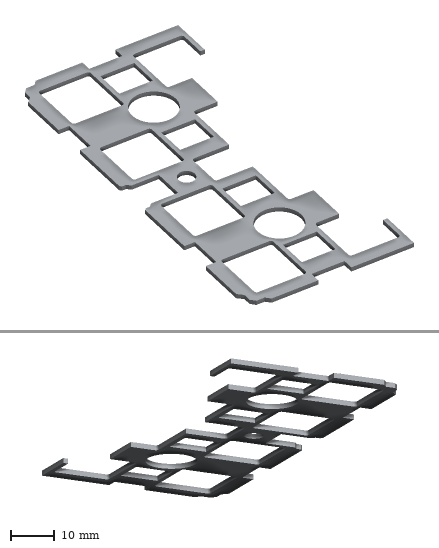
import cadquery as cq

length = 100.0
width = 45.2
thickness = 1.2
half_length = length / 2
half_width = width / 2
corner_radius = 0.7

outer_opening_near = 31.2
outer_opening_far = 46.2
inner_opening_near = 5.6
inner_opening_far = 20.3
opening_top = -4.4
opening_height = 14.2
opening_bottom = opening_top - opening_height

arm_tip = 38.7
arm_underside = half_width - 1.2
tab_top = 14.2
shoulder_top = 7.4
dip_side = 5.0
dip_floor = -2.9

end_notch_floor = 47.1
end_notch_top = 5.3
end_notch_bottom = -3.8

outer_corner_points = [
    (half_length, -16.7),
    (48.8, -17.8),
    (48.8, -20.1),
    (47.6, -21.2),
    (45.4, -21.2),
    (44.1, -half_width),
]
bottom_notch_near = 22.1
bottom_notch_top = -19.7
slot_half_width = 4.1
slot_top = -12.6
inner_corner_points = [
    (5.5, -half_width),
    (dip_side, -22.1),
    (dip_side, -21.0),
    (slot_half_width, -20.1),
]

large_hole_diameter = 12.0
large_hole_x = 26.6
large_hole_y = 0.7
center_hole_diameter = 4.5
center_hole_y = -7.6

window_count = 4
window_pitch = 25.8
window_row_center = -0.6
window_length = 8.0
window_top = 6.1
window_height = 9.3


def half_plate():
    """Outline of the +X half, with its inside corners rounded."""
    points = [
        (0, dip_floor),
        (dip_side, dip_floor),
        (dip_side, shoulder_top),
        (inner_opening_far, shoulder_top),
        (inner_opening_far, tab_top),
        (outer_opening_near, tab_top),
        (outer_opening_near, shoulder_top),
        (outer_opening_far, shoulder_top),
        (outer_opening_far, arm_underside),
        (arm_tip, arm_underside),
        (arm_tip, half_width),
        (half_length, half_width),
        (half_length, end_notch_top),
        (end_notch_floor, end_notch_top),
        (end_notch_floor, end_notch_bottom),
        (half_length, end_notch_bottom),
        *outer_corner_points,
        (outer_opening_near, -half_width),
        (outer_opening_near, bottom_notch_top),
        (bottom_notch_near, bottom_notch_top),
        (bottom_notch_near, -half_width),
        *inner_corner_points,
        (slot_half_width, slot_top),
        (0, slot_top),
    ]
    rounded_corners = [
        (dip_side, dip_floor),
        (inner_opening_far, shoulder_top),
        (outer_opening_near, shoulder_top),
        (outer_opening_far, shoulder_top),
        (outer_opening_far, arm_underside),
    ]
    half = cq.Workplane("XY").polyline(points).close().extrude(thickness)
    for x, y in rounded_corners:
        corner = cq.selectors.NearestToPointSelector((x, y, thickness / 2))
        half = half.edges("|Z").edges(corner).fillet(corner_radius)
    return half


def large_opening(near, far):
    """Cutter for a large opening with rounded corners in the +X half."""
    return (
        cq.Workplane("XY")
        .center((near + far) / 2, (opening_top + opening_bottom) / 2)
        .rect(far - near, opening_height)
        .extrude(thickness)
        .edges("|Z")
        .fillet(corner_radius)
    )


def round_hole(x, y, diameter):
    """Cutter for a through hole."""
    return cq.Workplane("XY").center(x, y).circle(diameter / 2).extrude(thickness)


def window_row():
    """Cutter for the row of sharp-cornered windows."""
    return (
        cq.Workplane("XY")
        .center(window_row_center, window_top - window_height / 2)
        .rarray(window_pitch, 1, window_count, 1)
        .rect(window_length, window_height)
        .extrude(thickness)
    )


half = (
    half_plate()
    .cut(large_opening(outer_opening_near, outer_opening_far))
    .cut(large_opening(inner_opening_near, inner_opening_far))
    .cut(round_hole(large_hole_x, large_hole_y, large_hole_diameter))
)
plate = half.union(half.mirror("YZ"))
result = plate.cut(window_row()).cut(round_hole(0, center_hole_y, center_hole_diameter))